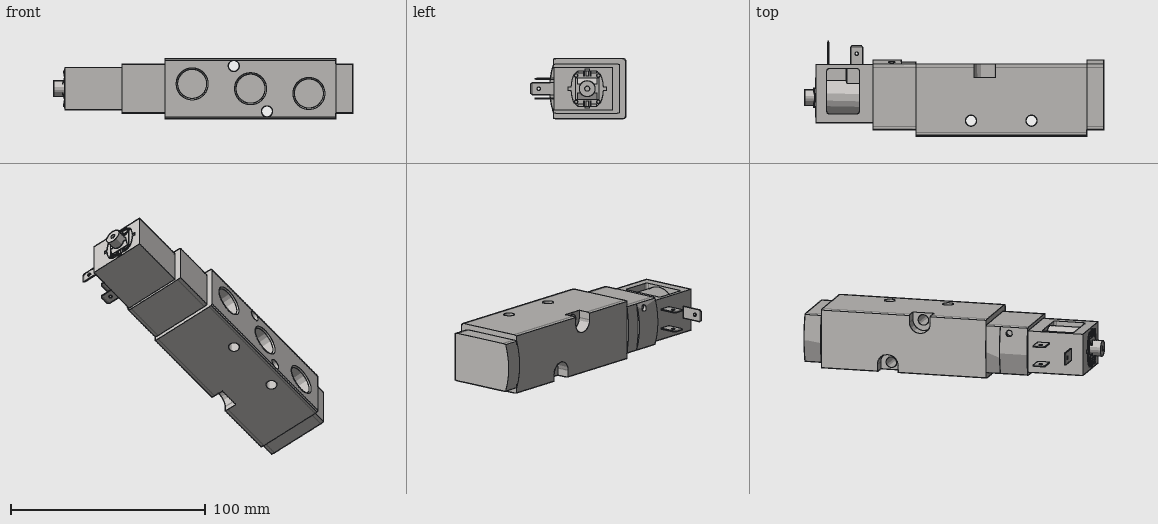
import cadquery as cq
import math


coil_length = 29.2
pilot_length = 22.1
body_length = 87.8
cap_length = 8.8
stem_reach = 5.8
pilot_start = coil_length
body_start = pilot_start + pilot_length
cap_start = body_start + body_length

body_front = -19.8
body_back = 17.4
body_height = 31.0
bevel_depth = 1.8
bevel_drop = 1.0
bevel_knee_depth = 0.6
bevel_knee_drop = 0.22

pilot_front = -16.6
pilot_back = 17.4
pilot_height = 25.4
crown_back = 19.4
low_crown_back = 18.5
high_crown_length = 14.6
override_diameter = 3.2
override_depth = 0.9
override_offset = 9.7
override_z = 9.2

edge_radius = 5.5
edge_width = 1.8
edge_drop = edge_radius - math.sqrt(edge_radius**2 - edge_width**2)

port_count = 3
port_diameter = 14.9
port_chamfer = 0.8
port_depth = 9.0
port_first = 14.0
port_pitch = 30.0
port_stagger = 2.5
mount_hole_diameter = 5.5
cross_hole_offsets = (28.3, 59.4)
cross_hole_y = -11.8
slot_hole_offsets = (35.4, 52.5)
slot_hole_z = 11.7
slot_width = 11.0
slot_depth = 6.9

stem_diameter = 8.2
stem_hole_diameter = 2.6
stem_hole_depth = 1.5

coil_front = -12.9
coil_back = 17.0
coil_height = 21.8
window_start = 5.5
window_length = 16.8
window_front = -8.3
window_back = 14.9
window_corner = 1.2
window_floor = 5.2
winding_radius = 10.2
post_start = 16.0
post_draft = 0.6
post_front = 7.2
post_top = 7.0

blade_width = 6.3
blade_thickness = 0.6
blade_tip_length = 0.9
blade_corner = 0.8
blade_tip_taper = 0.2
blade_hole_diameter = 1.7
blade_hole_setback = 4.2
ground_tip = 29.0
ground_center_x = 6.3
contact_tip = 26.8
contact_center_x = 20.9
contact_center_z = 5.0

clip_thickness = 0.23
clip_side = 8.3
clip_shoulder_y = 6.9
clip_shoulder_z = 7.0
clip_top_y = 4.8
clip_half_height = 9.0
clip_opening_y = 6.0
clip_opening_z = 5.5
clip_slot_y = 1.7
clip_slot_width = 0.5
clip_slot_root = 6.5
clip_tab_half_height = 10.0
clip_tab_width = 2.5
ear_reach = 10.0
ear_width = 1.7
clip_hole_diameter = 1.7
clip_hole_y = 5.7
clip_hole_z = 6.8
lip_height = 0.8
lip_width = 1.0
lip_inner_y = 2.0
rib_height = 0.5
rib_width = 1.4
tongue_rise = 1.4
tongue_half_width = 5.0
tongue_end_z = 2.3


def box(x_range, y_range, z_range):
    """Axis-aligned block between the given limits."""
    (x0, x1), (y0, y1), (z0, z1) = x_range, y_range, z_range
    return cq.Workplane("XY").box(x1 - x0, y1 - y0, z1 - z0, centered=False).translate((x0, y0, z0))


def rod(diameter, start, end, direction):
    """Cylinder from the point start, ending at the coordinate end along direction (X, Y or Z)."""
    axis = {"X": cq.Vector(1, 0, 0), "Y": cq.Vector(0, 1, 0), "Z": cq.Vector(0, 0, 1)}[direction]
    length = end - cq.Vector(*start).dot(axis)
    return cq.Workplane(cq.Solid.makeCylinder(diameter / 2, length, cq.Vector(*start), axis))


def edge_middle(flat_end, top, inward):
    """Middle point of a rounded edge that leaves the top face at flat_end."""
    half_angle = math.asin(edge_width / edge_radius) / 2
    y = flat_end - inward * edge_radius * math.sin(half_angle)
    z = top - edge_radius * (1 - math.cos(half_angle))
    return (y, z)


def crowned_block(start, length, crown):
    """Pilot or cap block: rounded long edges and a bulged back face."""
    top = pilot_height / 2
    side = top - edge_drop
    front_flat = pilot_front + edge_width
    back_flat = pilot_back - edge_width
    front_y, front_z = edge_middle(front_flat, top, 1)
    back_y, back_z = edge_middle(back_flat, top, -1)
    return (
        cq.Workplane("YZ", origin=(start, 0, 0))
        .moveTo(pilot_front, -side)
        .lineTo(pilot_front, side)
        .threePointArc((front_y, front_z), (front_flat, top))
        .lineTo(back_flat, top)
        .threePointArc((back_y, back_z), (pilot_back, side))
        .threePointArc((crown, 0), (pilot_back, -side))
        .threePointArc((back_y, -back_z), (back_flat, -top))
        .lineTo(front_flat, -top)
        .threePointArc((front_y, -front_z), (pilot_front, -side))
        .close()
        .extrude(length)
    )


def body_block():
    """Main block: two-step bevels on the front edges, rounded back edges."""
    top = body_height / 2
    back_flat = body_back - edge_width
    back_y, back_z = edge_middle(back_flat, top, -1)
    bevel = [
        (body_front, top - bevel_drop),
        (body_front + bevel_knee_depth, top - bevel_knee_drop),
        (body_front + bevel_depth, top),
    ]
    lower_bevel = [(y, -z) for y, z in reversed(bevel)]
    return (
        cq.Workplane("YZ", origin=(body_start, 0, 0))
        .polyline(lower_bevel + bevel)
        .lineTo(back_flat, top)
        .threePointArc((back_y, back_z), (body_back, top - edge_drop))
        .lineTo(body_back, edge_drop - top)
        .threePointArc((back_y, -back_z), (back_flat, -top))
        .close()
        .extrude(body_length)
    )


def port_cutter(index):
    """Blind port with a chamfered mouth in the front face."""
    x = body_start + port_first + index * port_pitch
    z = (1 - index) * port_stagger
    mouth = cq.Solid.makeCone(
        port_diameter / 2 + port_chamfer, port_diameter / 2, port_chamfer,
        cq.Vector(x, body_front, z), cq.Vector(0, 1, 0),
    )
    return rod(port_diameter, (x, body_front, z), body_front + port_depth, "Y").union(cq.Workplane(mouth))


def slotted_hole_cutter(offset, side):
    """Hole along Y with a round-bottomed slot at the back, open to the top (1) or bottom (-1)."""
    x = body_start + offset
    z = side * slot_hole_z
    slot_front = body_back - slot_depth
    outer_z = side * body_height / 2
    slot = box(
        (x - slot_width / 2, x + slot_width / 2),
        (slot_front, body_back),
        (min(z, outer_z), max(z, outer_z)),
    )
    hole = rod(mount_hole_diameter, (x, body_front, z), body_back, "Y")
    return hole.union(rod(slot_width, (x, slot_front, z), body_back, "Y")).union(slot)


def make_valve():
    """Pilot housing, main block, end cap and armature stem in one piece."""
    valve = body_block()
    valve = valve.union(crowned_block(pilot_start, high_crown_length, crown_back))
    low_start = pilot_start + high_crown_length
    valve = valve.union(crowned_block(low_start, body_start - low_start, low_crown_back))
    valve = valve.union(crowned_block(cap_start, cap_length, crown_back))
    valve = valve.union(rod(stem_diameter, (-stem_reach, 0, 0), pilot_start, "X"))
    valve = valve.cut(rod(stem_hole_diameter, (-stem_reach, 0, 0), stem_hole_depth - stem_reach, "X"))

    for index in range(port_count):
        valve = valve.cut(port_cutter(index))
    for offset in cross_hole_offsets:
        start = (body_start + offset, cross_hole_y, -body_height / 2)
        valve = valve.cut(rod(mount_hole_diameter, start, body_height / 2, "Z"))
    for offset, side in zip(slot_hole_offsets, (1, -1)):
        valve = valve.cut(slotted_hole_cutter(offset, side))

    override = (pilot_start + override_offset, pilot_back - override_depth, override_z)
    return valve.cut(rod(override_diameter, override, crown_back, "Y"))


def make_blade(root, tip):
    """Flat terminal blade pointing along +Y, flat in XY and centred on X = 0 and Z = 0."""
    half = blade_width / 2
    shoulder = tip - blade_tip_length
    outline = [
        (-half, root), (half, root), (half, shoulder), (half - blade_corner, tip),
        (blade_corner - half, tip), (-half, shoulder),
    ]
    thick = blade_thickness / 2
    blade = cq.Workplane("XY").polyline(outline).close().extrude(thick, both=True)
    thin = thick - blade_tip_taper
    profile = [
        (root, -thick), (shoulder, -thick), (tip, -thin),
        (tip, thin), (shoulder, thick), (root, thick),
    ]
    blade = blade.intersect(cq.Workplane("YZ").polyline(profile).close().extrude(half, both=True))
    hole_start = (0, tip - blade_hole_setback, -thick)
    return blade.cut(rod(blade_hole_diameter, hole_start, thick, "Z"))


def window_cutter():
    """Window in the top of the coil, leaving the winding and a terminal post standing."""
    window_end = window_start + window_length
    window = box(
        (window_start, window_end), (window_front, window_back), (window_floor, coil_height / 2)
    ).edges("|Z").fillet(window_corner)
    winding = rod(2 * winding_radius, (window_start, 0, 0), window_end, "X")
    post_base = post_start - post_draft
    post = (
        cq.Workplane("XZ", origin=(0, window_back, 0))
        .moveTo(post_base, window_floor)
        .lineTo(post_start, post_top)
        .lineTo(window_end, post_top)
        .lineTo(window_end, window_floor)
        .close()
        .extrude(window_back - post_front)
    )
    return window.cut(winding).cut(post)


def make_coil():
    """Coil block with a bore for the stem, a window and three terminal blades."""
    coil = box((0, coil_length), (coil_front, coil_back), (-coil_height / 2, coil_height / 2))
    coil = coil.cut(rod(stem_diameter, (0, 0, 0), coil_length, "X"))
    coil = coil.cut(window_cutter())

    ground = make_blade(coil_back, ground_tip).rotate((0, 0, 0), (0, 1, 0), 90)
    coil = coil.union(ground.translate((ground_center_x, 0, 0)))
    for side in (1, -1):
        contact = make_blade(coil_back, contact_tip)
        coil = coil.union(contact.translate((contact_center_x, 0, side * contact_center_z)))
    return coil


def make_clip_plate():
    """Thin plate with bowed sides, ears, end tabs and a rectangular opening."""
    side = (clip_shoulder_y, clip_shoulder_z)
    plate = (
        cq.Workplane("YZ")
        .moveTo(-clip_top_y, clip_half_height)
        .lineTo(clip_top_y, clip_half_height)
        .lineTo(*side)
        .threePointArc((clip_side, 0), (side[0], -side[1]))
        .lineTo(clip_top_y, -clip_half_height)
        .lineTo(-clip_top_y, -clip_half_height)
        .lineTo(-side[0], -side[1])
        .threePointArc((-clip_side, 0), (-side[0], side[1]))
        .close()
        .extrude(-clip_thickness)
    )
    span = (-clip_thickness, 0)
    plate = plate.union(box(span, (-ear_reach, ear_reach), (-ear_width / 2, ear_width / 2)))
    tab_z = (-clip_tab_half_height, clip_tab_half_height)
    plate = plate.union(box(span, (-clip_tab_width / 2, clip_tab_width / 2), tab_z))
    opening_y = (-clip_opening_y, clip_opening_y)
    return plate.cut(box(span, opening_y, (-clip_opening_z, clip_opening_z)))


def make_tongue():
    """Upper tongue, sloping outward from the plate to the stem."""
    profile = [
        (0, clip_opening_z),
        (-clip_thickness, clip_opening_z),
        (-tongue_rise, tongue_end_z),
        (clip_thickness - tongue_rise, tongue_end_z),
    ]
    return (
        cq.Workplane("XZ", origin=(0, tongue_half_width, 0))
        .polyline(profile)
        .close()
        .extrude(2 * tongue_half_width)
    )


def make_clip():
    """Spring clip that grips the stem against the outer face of the coil."""
    clip = make_clip_plate()
    tongue = make_tongue()
    clip = clip.union(tongue).union(tongue.mirror("XY"))

    slot_length = clip_half_height - clip_slot_root
    for z_side in (1, -1):
        slot_z = z_side * (clip_slot_root + clip_half_height) / 2
        rib = cq.Workplane("XY").box(rib_height, rib_width, slot_length)
        clip = clip.union(rib.translate((-rib_height / 2, 0, slot_z)))
        for y_side in (1, -1):
            slot_y = y_side * clip_slot_y
            slot = cq.Workplane("XY").box(2 * lip_height, clip_slot_width, slot_length)
            clip = clip.cut(slot.translate((0, slot_y, slot_z)))

            hole = (-clip_thickness, y_side * clip_hole_y, z_side * clip_hole_z)
            clip = clip.cut(rod(clip_hole_diameter, hole, 0, "X"))

            lip_y = y_side * (lip_inner_y + clip_top_y) / 2
            lip_z = z_side * (clip_half_height - lip_width / 2)
            lip = cq.Workplane("XY").box(lip_height, clip_top_y - lip_inner_y, lip_width)
            clip = clip.union(lip.translate((-lip_height / 2, lip_y, lip_z)))
    return clip.cut(rod(stem_diameter, (-stem_reach, 0, 0), 0, "X"))


valve = make_valve().solids()
coil = make_coil().solids()
clip = make_clip().solids()
result = cq.Compound.makeCompound([valve.val(), coil.val(), clip.val()])